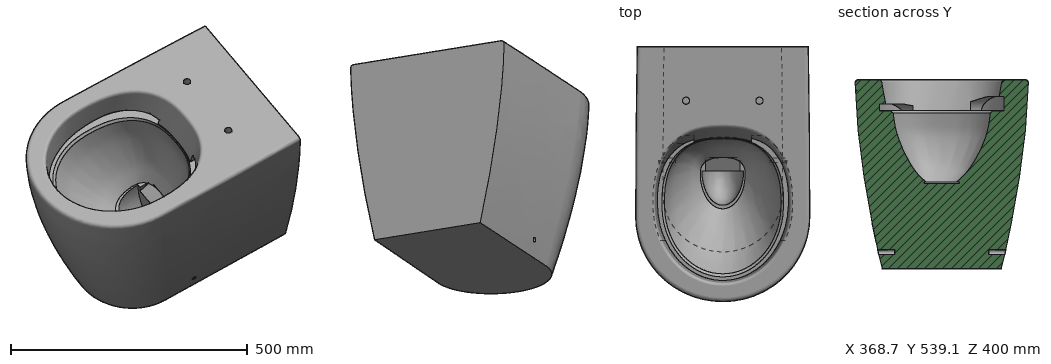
import cadquery as cq
import math

HEIGHT = 400.0
LENGTH = 539.5

TOP_HALF_WIDTH = 184.5
FOOT_HALF_WIDTH = 126.5
FOOT_LENGTH = 434.0
BACK_WIDTH_RATIO = 0.983
NOSE_RATIO = 0.975
WIDTH_CURVE = 1.65
LENGTH_CURVE = 1.56
SHELL_LEVELS = 5
TOP_EDGE_RADIUS = 7.5

OPENING = (143.5, -170.0, -337.0, -500.5)
WALL_FOOT = (137.5, -192.5, -334.5, -494.5)
LEDGE_EDGE = (129.0, -193.5, -334.5, -487.0)
BOWL_RIM = (123.5, -194.5, -334.5, -480.5)
BOWL_RING = (90.5, -197.5, -302.0, -419.0)
SUMP_MOUTH = (47.5, -234.5, -269.5, -343.0)
LEDGE_Z = 334.5
RING_Z = 248.0
SUMP_MOUTH_Z = 183.5
OPENING_RADIUS = 6.5
LEDGE_BEVEL = 5.0
BACK_FULLNESS = 2.5
FRONT_FULLNESS = 2.0
EGG_POINTS = 24

CHANNEL = (148.0, -170.0, -337.0, -496.0)
CHANNEL_INNER_X = 61.0
CHANNEL_BACK_Y = -187.5
CHANNEL_CREST_Y = -221.0
CHANNEL_FRONT_Y = -410.0
BEND_RUN = 0.75
BEND_FALL = 0.3
RIGHT_CHANNEL_HEIGHT = 30.0
LEFT_CHANNEL_HEIGHT = 14.0

SUMP_HALF_WIDTH = 44.0
SUMP_LENGTH = 73.0
SUMP_BACK_Y = -262.5
NOTCH_HALF_WIDTH = 36.5
NOTCH_BACK_Y = -234.5
NOTCH_DROP = 13.5

SEAT_HOLE_X = 77.5
SEAT_HOLE_Y = -114.5
SEAT_HOLE_DIAMETER = 15.0
SEAT_HOLE_DEPTH = 54.0
FIXING_HOLE_Y = -240.0
FIXING_HOLE_Z = 35.0
FIXING_HOLE_DIAMETER = 9.5
FIXING_HOLE_BOTTOM_X = 100.0


def shell_section(z):
    """Outline of the shell at height z: straight back, bowed sides, elliptical nose."""
    rise = 1 - z / HEIGHT
    half_width = TOP_HALF_WIDTH - (TOP_HALF_WIDTH - FOOT_HALF_WIDTH) * rise ** WIDTH_CURVE
    length = LENGTH - (LENGTH - FOOT_LENGTH) * rise ** LENGTH_CURVE
    nose = half_width * NOSE_RATIO
    nose_y = nose - length
    back = half_width * BACK_WIDTH_RATIO
    slope = 2 * (half_width - back)
    right_side = cq.Edge.makeSpline(
        [cq.Vector(back, 0, z), cq.Vector(half_width, nose_y, z)],
        tangents=[cq.Vector(slope, nose_y, 0), cq.Vector(0, nose_y, 0)],
    )
    left_side = right_side.mirror("YZ")
    arc = cq.Workplane(origin=(0, nose_y, z)).ellipseArc(half_width, nose, 180, 360, startAtCurrent=False)
    back_edge = cq.Edge.makeLine(cq.Vector(-back, 0, z), cq.Vector(back, 0, z))
    return cq.Wire.assembleEdges([back_edge, right_side, arc.val(), left_side])


def make_shell():
    levels = [HEIGHT * i / (SHELL_LEVELS - 1) for i in range(SHELL_LEVELS)]
    shell = cq.Workplane(cq.Solid.makeLoft([shell_section(z) for z in levels]))
    return shell.faces(">Z").edges("not >Y").fillet(TOP_EDGE_RADIUS)


def egg(outline, z):
    """Smooth closed egg outline at height z."""
    half_width, back_y, widest_y, front_y = outline
    points = []
    for i in range(EGG_POINTS):
        angle = 2 * math.pi * i / EGG_POINTS
        c, s = math.cos(angle), math.sin(angle)
        power = 2 / (BACK_FULLNESS if s > 0 else FRONT_FULLNESS)
        reach = back_y - widest_y if s > 0 else widest_y - front_y
        x = math.copysign(half_width * abs(c) ** power, c)
        y = widest_y + math.copysign(reach * abs(s) ** power, s)
        points.append(cq.Vector(x, y, z))
    return cq.Wire.assembleEdges([cq.Edge.makeSpline(points, periodic=True)])


def make_opening():
    return cq.Workplane(cq.Solid.makeLoft([egg(WALL_FOOT, LEDGE_Z), egg(OPENING, HEIGHT)]))


def make_bowl():
    """Bowl with a bevelled upper edge where it leaves the ledge."""
    rim_z = LEDGE_Z - LEDGE_BEVEL
    bevel = cq.Workplane(cq.Solid.makeLoft([egg(BOWL_RIM, rim_z), egg(LEDGE_EDGE, LEDGE_Z)]))
    sections = [egg(BOWL_RIM, rim_z), egg(BOWL_RING, RING_Z), egg(SUMP_MOUTH, SUMP_MOUTH_Z)]
    return bevel.union(cq.Workplane(cq.Solid.makeLoft(sections)))


def make_channel(side, height):
    """Channel on one side (+1 or -1), its roof rising from the back and falling to the front."""
    ring = cq.Workplane(cq.Solid.extrudeLinear(egg(CHANNEL, LEDGE_Z), [], cq.Vector(0, 0, height)))
    crest_z = LEDGE_Z + height
    back_run = CHANNEL_BACK_Y - CHANNEL_CREST_Y
    bend_y = CHANNEL_CREST_Y + back_run * BEND_RUN
    bend_z = crest_z - height * BEND_FALL
    front_slope = cq.Vector(CHANNEL_CREST_Y - CHANNEL_FRONT_Y, height, 0)
    roof = (
        cq.Workplane("YZ", origin=(CHANNEL_INNER_X * side, 0, 0))
        .moveTo(CHANNEL_FRONT_Y, LEDGE_Z)
        .spline([(CHANNEL_CREST_Y, crest_z)], tangents=[front_slope, (1, 0)], includeCurrent=True)
        .threePointArc((bend_y, bend_z), (CHANNEL_BACK_Y, LEDGE_Z))
        .close()
        .extrude(side * TOP_HALF_WIDTH)
    )
    return ring.intersect(roof)


def make_sump():
    """Front half of an ellipsoid, round in side section, with a flat back."""
    half_ellipse = (
        cq.Workplane(origin=(0, SUMP_BACK_Y, SUMP_MOUTH_Z))
        .ellipseArc(SUMP_HALF_WIDTH, SUMP_LENGTH, 180, 360, startAtCurrent=False)
        .close()
    )
    return half_ellipse.revolve(90, (0, 0, 0), (1, 0, 0))


def make_notch():
    """Ramp from the back of the bowl down into the sump."""
    ramp_foot_z = SUMP_MOUTH_Z - NOTCH_DROP
    return (
        cq.Workplane("YZ")
        .moveTo(NOTCH_BACK_Y, SUMP_MOUTH_Z)
        .lineTo(SUMP_BACK_Y, ramp_foot_z)
        .lineTo(SUMP_BACK_Y, SUMP_MOUTH_Z)
        .close()
        .extrude(NOTCH_HALF_WIDTH, both=True)
    )


def make_seat_holes():
    return (
        cq.Workplane(origin=(0, SEAT_HOLE_Y, HEIGHT))
        .pushPoints([(-SEAT_HOLE_X, 0), (SEAT_HOLE_X, 0)])
        .circle(SEAT_HOLE_DIAMETER / 2)
        .extrude(-SEAT_HOLE_DEPTH)
    )


def make_fixing_hole(side):
    """Blind floor-fixing hole, drilled along X into one side (+1 or -1)."""
    return (
        cq.Workplane("YZ", origin=(side * FIXING_HOLE_BOTTOM_X, FIXING_HOLE_Y, FIXING_HOLE_Z))
        .circle(FIXING_HOLE_DIAMETER / 2)
        .extrude(side * (TOP_HALF_WIDTH - FIXING_HOLE_BOTTOM_X))
    )


def round_opening_edge(body):
    """Round the rim where the bowl opening meets the top face."""
    _, back_y, widest_y, _ = OPENING
    rim = body.faces(">Z").edges(cq.selectors.NearestToPointSelector((0, (back_y + widest_y) / 2, HEIGHT)))
    return rim.fillet(OPENING_RADIUS)


result = round_opening_edge(make_shell().cut(make_opening()))
result = result.cut(make_bowl()).cut(make_sump()).cut(make_notch())
for side, channel_height in ((1, RIGHT_CHANNEL_HEIGHT), (-1, LEFT_CHANNEL_HEIGHT)):
    result = result.cut(make_channel(side, channel_height))
    result = result.cut(make_fixing_hole(side))
result = result.cut(make_seat_holes())